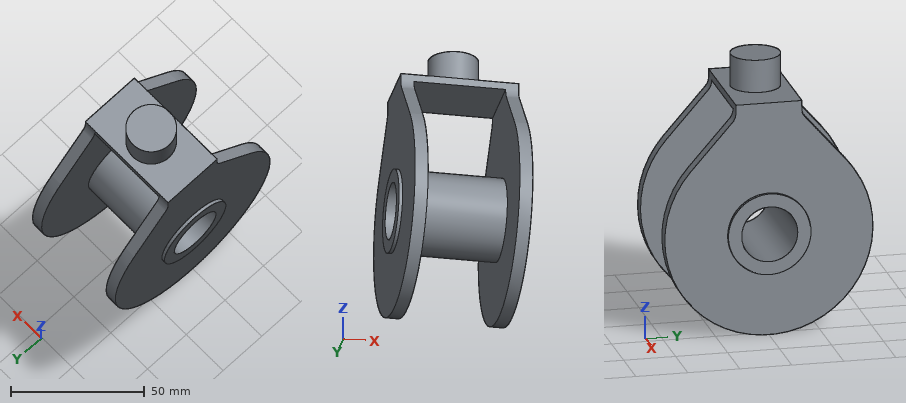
import cadquery as cq
import math

total_height = 104.1
plate_diameter = 80.0
plate_radius = plate_diameter / 2
top_of_pin = total_height - plate_radius

yoke_width = 45.0
plate_thickness = 5.0
neck_width = 25.4
flank_angle = math.radians(41.3)
neck_fillet_radius = 5.2
bridge_thickness = 2.9

pin_diameter = 19.0
pin_height = 12.7
bridge_top = top_of_pin - pin_height

hub_diameter = 31.7
hub_length = 47.7
bore_diameter = 21.5


def plate_profile():
    """Round plate with tangent flanks rising into a straight neck."""
    half_neck = neck_width / 2
    tangent_y = plate_radius * math.cos(flank_angle)
    tangent_z = plate_radius * math.sin(flank_angle)

    corner_z = tangent_z + (tangent_y - half_neck) / math.tan(flank_angle)
    fillet_reach = neck_fillet_radius * math.tan(flank_angle / 2)
    fillet_top_z = corner_z + fillet_reach
    fillet_low_y = half_neck + fillet_reach * math.sin(flank_angle)
    fillet_low_z = corner_z - fillet_reach * math.cos(flank_angle)
    fillet_mid_y = half_neck + neck_fillet_radius * (1 - math.cos(flank_angle / 2))
    fillet_mid_z = fillet_top_z - neck_fillet_radius * math.sin(flank_angle / 2)

    return (
        cq.Workplane("YZ")
        .moveTo(-half_neck, bridge_top)
        .lineTo(half_neck, bridge_top)
        .lineTo(half_neck, fillet_top_z)
        .threePointArc((fillet_mid_y, fillet_mid_z), (fillet_low_y, fillet_low_z))
        .lineTo(tangent_y, tangent_z)
        .threePointArc((0, -plate_radius), (-tangent_y, tangent_z))
        .lineTo(-fillet_low_y, fillet_low_z)
        .threePointArc((-fillet_mid_y, fillet_mid_z), (-half_neck, fillet_top_z))
        .close()
    )


def cylinder_along_x(diameter, length):
    """Cylinder on the hub axis, centred on the origin."""
    return (
        cq.Workplane("YZ", origin=(-length / 2, 0, 0))
        .circle(diameter / 2)
        .extrude(length)
    )


def make_side_plates():
    plate = plate_profile().extrude(plate_thickness)
    left_plate = plate.translate((-yoke_width / 2, 0, 0))
    right_plate = plate.translate((yoke_width / 2 - plate_thickness, 0, 0))
    return left_plate.union(right_plate)


def make_bridge():
    return (
        cq.Workplane("XY", origin=(0, 0, bridge_top - bridge_thickness))
        .rect(yoke_width, neck_width)
        .extrude(bridge_thickness)
    )


def make_pin():
    return (
        cq.Workplane("XY", origin=(0, 0, bridge_top))
        .circle(pin_diameter / 2)
        .extrude(pin_height)
    )


yoke = make_side_plates().union(make_bridge()).union(make_pin())
hub = cylinder_along_x(hub_diameter, hub_length)
bore = cylinder_along_x(bore_diameter, hub_length)
result = yoke.union(hub).cut(bore)